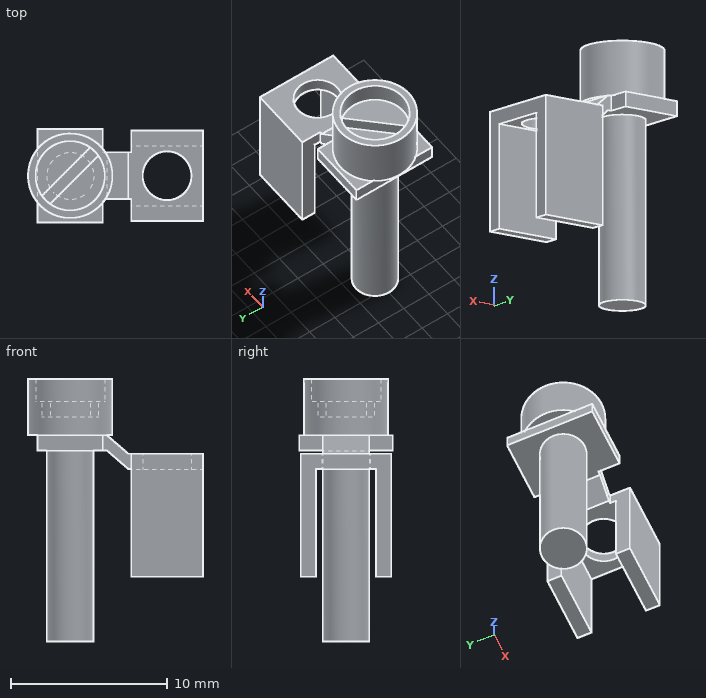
import cadquery as cq

total_height = 16.8
head_diameter = 5.41
head_height = 3.6
head_bore_diameter = 4.44
head_bore_depth = 1.41
slot_width = 0.74
slot_depth = 1.0
slot_angle = 45.0
shank_diameter = 3.0

sheet = 0.99
plate_length = 4.2
plate_width = 6.0
strip_width = 3.0
strip_drop = 1.18
bend_start = 2.35
bend_end = 3.71
bracket_length = 4.6
bracket_width = 5.81
bracket_height = 7.9
bracket_hole_diameter = 3.1
overall_length = 11.2

head_bottom = total_height - head_height
plate_bottom = head_bottom - sheet
bracket_top = head_bottom - strip_drop
bracket_end = overall_length - head_diameter / 2
bracket_start = bracket_end - bracket_length
bracket_center = bracket_end - bracket_length / 2


def make_screw():
    """Slotted screw with a cup-shaped head."""
    shank = cq.Workplane("XY").circle(shank_diameter / 2).extrude(head_bottom)
    head = (
        cq.Workplane("XY", origin=(0, 0, head_bottom))
        .circle(head_diameter / 2)
        .extrude(head_height)
    )
    bore_floor = total_height - head_bore_depth
    bore = (
        cq.Workplane("XY", origin=(0, 0, bore_floor))
        .circle(head_bore_diameter / 2)
        .extrude(head_bore_depth)
    )
    slot_bar = (
        cq.Workplane("XY", origin=(0, 0, bore_floor - slot_depth))
        .rect(head_bore_diameter, slot_width)
        .extrude(slot_depth)
        .rotate((0, 0, 0), (0, 0, 1), slot_angle)
    )
    slot_limit = bore.translate((0, 0, -slot_depth))
    slot = slot_bar.intersect(slot_limit)
    return shank.union(head).cut(bore).cut(slot)


def make_plate():
    """Flat plate under the screw head."""
    return (
        cq.Workplane("XY", origin=(0, 0, plate_bottom))
        .rect(plate_length, plate_width)
        .extrude(sheet)
    )


def make_strip():
    """Sloping strip joining the plate to the bracket."""
    top_edge = [
        (plate_length / 2, head_bottom),
        (bend_start, head_bottom),
        (bend_end, bracket_top),
        (bracket_start, bracket_top),
    ]
    bottom_edge = [(x, z - sheet) for x, z in reversed(top_edge)]
    return (
        cq.Workplane("XZ")
        .polyline(top_edge + bottom_edge)
        .close()
        .extrude(strip_width / 2, both=True)
    )


def make_bracket():
    """Inverted U bracket, open along X, with a hole through its top."""
    outer = (
        cq.Workplane("XY", origin=(bracket_center, 0, bracket_top))
        .rect(bracket_length, bracket_width)
        .extrude(-bracket_height)
    )
    channel = (
        cq.Workplane("XY", origin=(bracket_center, 0, bracket_top - sheet))
        .rect(bracket_length, bracket_width - 2 * sheet)
        .extrude(sheet - bracket_height)
    )
    hole = (
        cq.Workplane("XY", origin=(bracket_center, 0, bracket_top))
        .circle(bracket_hole_diameter / 2)
        .extrude(-sheet)
    )
    return outer.cut(channel).cut(hole)


result = make_screw().union(make_plate()).union(make_strip()).union(make_bracket())